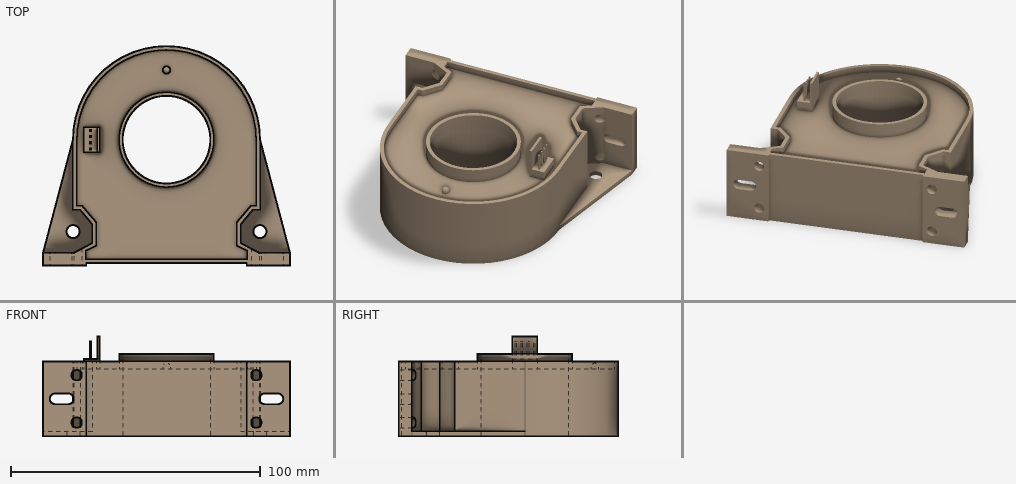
import cadquery as cq


length = 99.0
housing_radius = 37.5
housing_height = 30.0
wall = 1.6
recess_depth = 3.0
floor_z = housing_height - recess_depth
front_y = -49.5

foot_front_y = -50.5
foot_thickness = 5.1
foot_back_y = foot_front_y + foot_thickness
foot_inner_x = 32.1
plate_thickness = 2.0
plate_hole_x = 37.4
plate_hole_y = -36.8
plate_hole_diameter = 5.1
screw_hole_x = 35.9
screw_hole_spacing = 19.0
screw_hole_diameter = 4.2
screw_hole_depth = 9.9
slot_x = 42.0
slot_length = 9.5
slot_width = 4.2

notch_top_y = -28.1
notch_step_x = 34.6
notch_deep_x = 29.7
notch_upper_y = -34.0
notch_lower_y = -41.4
notch_foot_x = 37.1

recess_front_y = front_y + wall
recess_shoulder_y = notch_top_y + wall
recess_step_x = 33.8
recess_deep_x = notch_deep_x - wall
recess_upper_y = -33.2
recess_lower_y = -42.5
recess_foot_x = 32.3
recess_foot_y = -44.5

bore_diameter = 35.0
collar_diameter = 38.0
collar_top_z = 33.0
lamp_diameter = 3.0
lamp_y = 27.9
lamp_stem_height = 0.9

connector_left_x = -33.1
connector_right_x = -26.7
connector_width = 10.1
connector_base_top_z = 31.0
connector_back_thickness = 1.0
connector_top_z = 40.0
pin_count = 4
pin_pitch = 2.5
pin_size = 0.64
pin_x = -30.4
pin_top_z = 38.0


def arched_prism(radius, right_side, bottom_z, top_z):
    """Extrude a half-round arch closed below by right_side and its mirror image."""
    left_side = [(-x, y) for x, y in reversed(right_side)]
    return (
        cq.Workplane("XY", origin=(0, 0, bottom_z))
        .moveTo(-radius, 0)
        .threePointArc((0, radius), (radius, 0))
        .polyline(right_side + left_side, includeCurrent=True)
        .close()
        .extrude(top_z - bottom_z)
    )


def block(x_range, y_range, z_range):
    """Axis-aligned box between the given limits."""
    (x0, x1), (y0, y1), (z0, z1) = x_range, y_range, z_range
    return cq.Workplane("XY").box(x1 - x0, y1 - y0, z1 - z0, centered=False).translate((x0, y0, z0))


def cylinder(diameter, bottom_z, top_z):
    """Vertical cylinder on the bore axis."""
    return cq.Workplane("XY", origin=(0, 0, bottom_z)).circle(diameter / 2).extrude(top_z - bottom_z)


def make_housing():
    """Body and feet in one outline, with the corner notches left out."""
    side = [
        (housing_radius, notch_top_y),
        (notch_step_x, notch_top_y),
        (notch_deep_x, notch_upper_y),
        (notch_deep_x, notch_lower_y),
        (notch_foot_x, foot_back_y),
        (length / 2, foot_back_y),
        (length / 2, foot_front_y),
        (foot_inner_x, foot_front_y),
        (foot_inner_x, front_y),
    ]
    return arched_prism(housing_radius, side, 0, housing_height)


def make_base_plate():
    """Thin plate that tapers out from the arch to the feet."""
    side = [(length / 2, foot_back_y), (foot_inner_x, foot_back_y)]
    return arched_prism(housing_radius, side, 0, plate_thickness)


def make_recess():
    """Shallow tray inside the top rim."""
    side = [
        (housing_radius - wall, recess_shoulder_y),
        (recess_step_x, recess_shoulder_y),
        (recess_deep_x, recess_upper_y),
        (recess_deep_x, recess_lower_y),
        (recess_foot_x, recess_foot_y),
        (recess_foot_x, recess_front_y),
    ]
    return arched_prism(housing_radius - wall, side, floor_z, housing_height)


def make_lamp():
    """Short round stem with a hemispherical top."""
    radius = lamp_diameter / 2
    stem_top_z = floor_z + lamp_stem_height
    stem = cylinder(lamp_diameter, floor_z, stem_top_z)
    dome = cq.Workplane("XY").sphere(radius).translate((0, 0, stem_top_z))
    return stem.union(dome).translate((0, lamp_y, 0))


def make_connector():
    """Pin header with a base, an upright back and a row of square pins."""
    y_range = (-connector_width / 2, connector_width / 2)
    back_x = connector_right_x - connector_back_thickness
    base = block((connector_left_x, connector_right_x), y_range, (floor_z, connector_base_top_z))
    back = block((back_x, connector_right_x), y_range, (floor_z, connector_top_z))
    pins = (
        cq.Workplane("XY", origin=(pin_x, 0, floor_z))
        .rarray(1, pin_pitch, 1, pin_count)
        .rect(pin_size, pin_size)
        .extrude(pin_top_z - floor_z)
    )
    return base.union(back).union(pins)


def make_foot_openings(side):
    """Screw holes and slot through one foot, and the hole in the plate behind it."""
    foot_face = cq.Workplane("XZ", origin=(0, foot_front_y, housing_height / 2))
    screw_holes = (
        foot_face.center(side * screw_hole_x, 0)
        .rarray(1, screw_hole_spacing, 1, 2)
        .circle(screw_hole_diameter / 2)
        .extrude(-screw_hole_depth)
    )
    slot = (
        foot_face.center(side * slot_x, 0)
        .slot2D(slot_length, slot_width)
        .extrude(-foot_thickness)
    )
    plate_hole = cylinder(plate_hole_diameter, 0, plate_thickness).translate(
        (side * plate_hole_x, plate_hole_y, 0)
    )
    return screw_holes.union(slot).union(plate_hole)


result = make_housing().union(make_base_plate()).cut(make_recess())
result = result.union(cylinder(collar_diameter, 0, collar_top_z))
result = result.cut(cylinder(bore_diameter, 0, collar_top_z))
result = result.union(make_lamp()).union(make_connector())
for foot_side in (-1, 1):
    result = result.cut(make_foot_openings(foot_side))